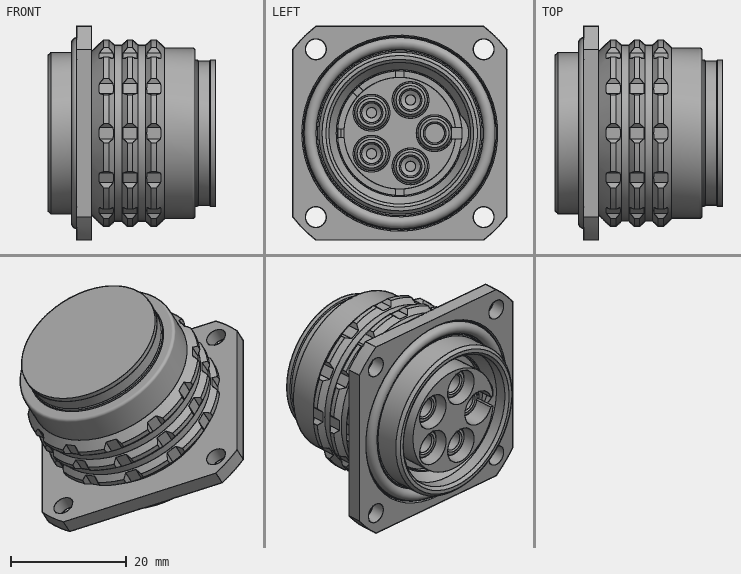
import cadquery as cq
import math


FLANGE_SIDE = 37.0
FLANGE_CORNER_R = 23.5
FLANGE_FRONT = 4.95
FLANGE_BACK = 7.6
MOUNT_HOLE_OFFSET = 14.5
MOUNT_HOLE_R = 1.78

COLLAR_R = 14.0
COLLAR_CHAMFER = 0.55

RIB_COUNT = 3
RIB_PITCH = 4.1
FIRST_RIB_X = 10.1
RIB_CREST_R = 16.2
RIB_CREST_WIDTH = 0.9
RIB_ROOT_R = 15.25
RIB_CONE_FRONT_R = 14.17
NOTCH_COUNT = 12
NOTCH_FLOOR_R = 15.43
NOTCH_FLOOR_WIDTH = 1.92
NOTCH_CLEARANCE = 0.37

BARREL_R = 14.75
BARREL_END = 25.45
BARREL_LENGTH = 7.4
BARREL_FILLET = 0.48
NECK_R = 12.7
NECK_END = 29.0
NECK_GROOVE_START = 25.83
NECK_GROOVE_END = 28.15
NECK_GROOVE_DEPTH = 0.2

CAVITY_MOUTH_R = 12.25
CAVITY_MOUTH_CHAMFER = 0.5
CAVITY_CONE_START = 2.63
CAVITY_CONE_END_R = 11.0
SHELF_X = 4.5
SHELF_INNER_R = 10.75
CAVITY_FLOOR_X = 5.33
PLUG_R = 9.65
PLUG_FACE_X = 0.75
LOBE_R = 4.15
LOBE_REACH = 11.9

FLOOR_NOTCH_ANGLES = (0, 45, 90, 270)
FLOOR_NOTCH_WIDTH = 1.48
FLOOR_NOTCH_DEPTH = 0.2
KEY_SLOT_WIDTH = 2.0
CHANNEL_Y = 10.4
CHANNEL_R = 0.25

CONTACT_COUNT = 5
CONTACT_CIRCLE_R = 6.03
EARTH_ANGLE = 180
WELL_R = 3.2
WELL_BELOW_TIP = 1.48
CONTACT_R = 2.92
CONTACT_LEAD_R = 2.65
CONTACT_TIP_R = 2.48
CONTACT_LEAD_LENGTH = 0.45
CONTACT_RECESS = 1.78
EARTH_RECESS = 2.8
SOCKET_R = 1.7
SOCKET_CHAMFER = 0.25
SOCKET_DEPTH = 2.95
SOCKET_BOTTOM_R = 0.9
SOCKET_TAPER_LENGTH = 0.48

RING_CENTRE_R = 15.5
RING_SECTION_R = 1.05
RING_PROTRUSION = 0.9
GROOVE_INNER_R = 14.25
GROOVE_OUTER_R = 16.72
GROOVE_CHAMFER = 0.22

RING_CENTRE_X = FLANGE_FRONT - RING_PROTRUSION + RING_SECTION_R


def turned(points):
    """Solid of revolution about X from a closed outline of (x, radius) points."""
    return cq.Workplane("XY").polyline(points).close().revolve(360, (0, 0, 0), (1, 0, 0))


def disc(radius, x_start, x_end, y=0.0, z=0.0):
    """Cylinder along X."""
    return cq.Workplane("YZ", origin=(x_start, y, z)).circle(radius).extrude(x_end - x_start)


def block(x_start, x_end, y_start, y_end, width):
    """Box along X that is centred on Z = 0."""
    size = (x_end - x_start, y_end - y_start, width)
    return cq.Workplane("XY", origin=(x_start, y_start, -width / 2)).box(*size, centered=False)


def turn_about_axis(body, angle):
    return body.rotate((0, 0, 0), (1, 0, 0), angle)


def make_flange():
    plate = (
        cq.Workplane("YZ", origin=(FLANGE_FRONT, 0, 0))
        .rect(FLANGE_SIDE, FLANGE_SIDE)
        .extrude(FLANGE_BACK - FLANGE_FRONT)
    )
    hole_pitch = 2 * MOUNT_HOLE_OFFSET
    return (
        plate.intersect(disc(FLANGE_CORNER_R, FLANGE_FRONT, FLANGE_BACK))
        .faces("<X").workplane(origin=(0, 0, 0))
        .rect(hole_pitch, hole_pitch, forConstruction=True)
        .vertices()
        .circle(MOUNT_HOLE_R)
        .cutThruAll()
    )


def make_collar():
    return disc(COLLAR_R, 0, FLANGE_BACK).faces("<X").edges().chamfer(COLLAR_CHAMFER)


def rib_notch_cutter():
    """Trapezoid along X with flanks at 45 degrees, opening outward on +Z."""
    height = RIB_CREST_R - NOTCH_FLOOR_R + NOTCH_CLEARANCE
    half_floor = NOTCH_FLOOR_WIDTH / 2
    half_top = half_floor + height
    floor = NOTCH_FLOOR_R
    return (
        cq.Workplane("YZ", origin=(FLANGE_BACK, 0, 0))
        .polyline([
            (-half_floor, floor),
            (half_floor, floor),
            (half_top, floor + height),
            (-half_top, floor + height),
        ])
        .close()
        .extrude(BARREL_END - FLANGE_BACK)
    )


def make_ribs():
    """Barrel stretch with the ribs; all rib flanks slope at 45 degrees."""
    outline = [(FLANGE_BACK, 0), (FLANGE_BACK, RIB_CONE_FRONT_R)]
    half_crest = RIB_CREST_WIDTH / 2
    half_root = half_crest + RIB_CREST_R - RIB_ROOT_R
    for rib in range(RIB_COUNT):
        centre = FIRST_RIB_X + rib * RIB_PITCH
        if rib > 0:
            outline.append((centre - half_root, RIB_ROOT_R))
        outline.append((centre - half_crest, RIB_CREST_R))
        outline.append((centre + half_crest, RIB_CREST_R))
        if rib < RIB_COUNT - 1:
            outline.append((centre + half_root, RIB_ROOT_R))
    ribs_end = outline[-1][0] + RIB_CREST_R - BARREL_R
    outline += [(ribs_end, BARREL_R), (ribs_end, 0)]
    ribs = turned(outline)
    for index in range(NOTCH_COUNT):
        ribs = ribs.cut(turn_about_axis(rib_notch_cutter(), index * 360 / NOTCH_COUNT))
    return ribs


def make_barrel():
    barrel_start = BARREL_END - BARREL_LENGTH
    return disc(BARREL_R, barrel_start, BARREL_END).faces(">X").edges().fillet(BARREL_FILLET)


def make_neck():
    groove_r = NECK_R - NECK_GROOVE_DEPTH
    return turned([
        (BARREL_END - BARREL_FILLET, 0),
        (BARREL_END - BARREL_FILLET, NECK_R),
        (NECK_GROOVE_START, NECK_R),
        (NECK_GROOVE_START + NECK_GROOVE_DEPTH, groove_r),
        (NECK_GROOVE_END - NECK_GROOVE_DEPTH, groove_r),
        (NECK_GROOVE_END, NECK_R),
        (NECK_END, NECK_R),
        (NECK_END, 0),
    ])


def cavity_cutter():
    """Annular space around the plug, with the scallop on -Y down to the shelf."""
    annulus = turned([
        (0, 0),
        (0, CAVITY_MOUTH_R + CAVITY_MOUTH_CHAMFER),
        (CAVITY_MOUTH_CHAMFER, CAVITY_MOUTH_R),
        (CAVITY_CONE_START, CAVITY_MOUTH_R),
        (SHELF_X, CAVITY_CONE_END_R),
        (SHELF_X, SHELF_INNER_R),
        (CAVITY_FLOOR_X, SHELF_INNER_R),
        (CAVITY_FLOOR_X, PLUG_R),
        (PLUG_FACE_X, PLUG_R),
        (PLUG_FACE_X, 0),
    ])
    lobe = disc(LOBE_R, CAVITY_CONE_START, SHELF_X, y=LOBE_R - LOBE_REACH)
    return annulus.union(lobe.cut(disc(PLUG_R, 0, CAVITY_FLOOR_X)))


def keying_cutters():
    """Shallow notches in the cavity floor, and the slot from the earth well through the plug wall."""
    notch_floor = CAVITY_FLOOR_X + FLOOR_NOTCH_DEPTH
    floor_ring = disc(SHELF_INNER_R, CAVITY_FLOOR_X, notch_floor)
    floor_ring = floor_ring.cut(disc(PLUG_R, CAVITY_FLOOR_X, notch_floor))
    bar = block(CAVITY_FLOOR_X, notch_floor, 0, SHELF_INNER_R, FLOOR_NOTCH_WIDTH)
    cutters = [floor_ring.intersect(turn_about_axis(bar, angle)) for angle in FLOOR_NOTCH_ANGLES]
    slot_start = CONTACT_CIRCLE_R + CONTACT_R
    slot = block(PLUG_FACE_X, notch_floor, -SHELF_INNER_R, -slot_start, KEY_SLOT_WIDTH)
    cutters.append(slot.intersect(disc(SHELF_INNER_R, PLUG_FACE_X, notch_floor)))
    return cutters


def locating_channel_cutter():
    """Half-round channel across the notch on +Y."""
    notch_floor = CAVITY_FLOOR_X + FLOOR_NOTCH_DEPTH
    return (
        cq.Workplane("XY", origin=(notch_floor, CHANNEL_Y, -FLOOR_NOTCH_WIDTH / 2))
        .circle(CHANNEL_R)
        .extrude(FLOOR_NOTCH_WIDTH)
    )


def well_cutter(recess, tapered):
    """Space around and inside one contact that lies on the X axis."""
    tip = PLUG_FACE_X + recess
    well_floor = tip + WELL_BELOW_TIP
    lead_start = tip + CONTACT_LEAD_R - CONTACT_TIP_R
    well = turned([
        (PLUG_FACE_X, 0),
        (PLUG_FACE_X, WELL_R),
        (well_floor, WELL_R),
        (well_floor, CONTACT_R),
        (lead_start + CONTACT_LEAD_LENGTH, CONTACT_R),
        (lead_start, CONTACT_LEAD_R),
        (tip, CONTACT_TIP_R),
        (tip, 0),
    ])
    outline = [
        (tip, 0),
        (tip, SOCKET_R + SOCKET_CHAMFER),
        (tip + SOCKET_CHAMFER, SOCKET_R),
        (tip + SOCKET_DEPTH, SOCKET_R),
    ]
    if tapered:
        outline.append((tip + SOCKET_DEPTH + SOCKET_TAPER_LENGTH, SOCKET_BOTTOM_R))
    outline.append((outline[-1][0], 0))
    return well.union(turned(outline))


def contact_cutters():
    cutters = []
    for index in range(CONTACT_COUNT):
        is_earth = index == 0
        recess = EARTH_RECESS if is_earth else CONTACT_RECESS
        angle = math.radians(EARTH_ANGLE + index * 360 / CONTACT_COUNT)
        place = (0, CONTACT_CIRCLE_R * math.cos(angle), CONTACT_CIRCLE_R * math.sin(angle))
        cutters.append(well_cutter(recess, tapered=not is_earth).translate(place))
    return cutters


def ring_groove_cutter():
    """Groove in the flange face, just deep enough for the ring to rest on its floor."""
    floor = RING_CENTRE_X + RING_SECTION_R
    return turned([
        (FLANGE_FRONT, GROOVE_INNER_R),
        (floor, GROOVE_INNER_R),
        (floor, GROOVE_OUTER_R),
        (FLANGE_FRONT + GROOVE_CHAMFER, GROOVE_OUTER_R),
        (FLANGE_FRONT, GROOVE_OUTER_R + GROOVE_CHAMFER),
    ])


def make_housing():
    housing = make_flange()
    for section in (make_collar(), make_barrel(), make_ribs(), make_neck()):
        housing = housing.union(section)
    housing = housing.cut(cavity_cutter())
    for cutter in keying_cutters() + contact_cutters():
        housing = housing.cut(cutter)
    housing = housing.cut(locating_channel_cutter())
    return housing.cut(ring_groove_cutter())


def make_sealing_ring():
    return (
        cq.Workplane("XY")
        .center(RING_CENTRE_X, RING_CENTRE_R)
        .circle(RING_SECTION_R)
        .revolve(360, (0, -RING_CENTRE_R, 0), (1, -RING_CENTRE_R, 0))
    )


housing = make_housing()
sealing_ring = make_sealing_ring()

result = cq.Compound.makeCompound([housing.val(), sealing_ring.val()])